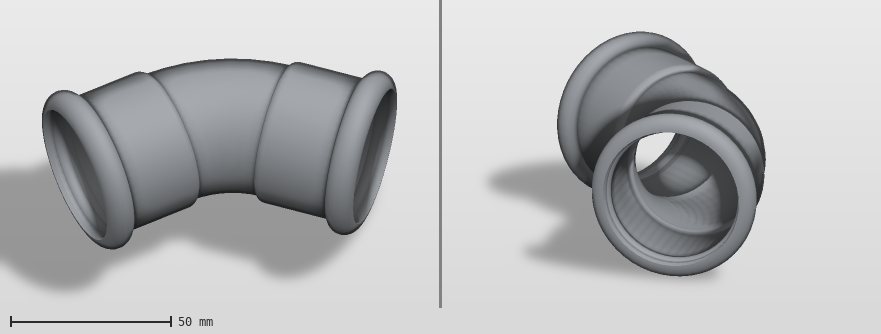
import cadquery as cq
import math

bend_angle = 45.0
bend_radius = 45.9
tube_radius = 21.0
tube_bore_radius = 19.6

socket_diameter = 45.4
socket_radius = socket_diameter / 2
socket_bore_radius = 21.2
shoulder_start = 30.2
outer_shoulder_radius = 3.0
inner_shoulder_radius = socket_bore_radius - tube_bore_radius
bend_start = shoulder_start + inner_shoulder_radius

bead_outer_radius = 26.3
bead_section_radius = 4.5
bead_width = 2 * bead_section_radius
bead_ring_radius = bead_outer_radius - bead_section_radius

seat_diameter = 42.7
seat_radius = seat_diameter / 2
lead_in_depth = 1.4
seat_end = 8.5
seal_depth = 4.8
seal_width = 3.9
seal_inner_radius = 20.5

BEAD_CROWN = 90
SHOULDER_MIDDLE = 135


def arc_point(depth, radius, section_radius, angle):
    """Point on a circular section, at an angle measured from the mouth direction outwards."""
    a = math.radians(angle)
    return (-depth + section_radius * math.cos(a), radius + section_radius * math.sin(a))


def make_socket():
    """Socket around the X axis, with its mouth at X = 0 facing +X."""
    outer_centre_radius = socket_radius - outer_shoulder_radius
    seal_front = seal_depth - seal_width / 2
    seal_back = seal_depth + seal_width / 2
    return (
        cq.Workplane("XY")
        .moveTo(0, bead_ring_radius)
        .threePointArc(
            arc_point(bead_section_radius, bead_ring_radius, bead_section_radius, BEAD_CROWN),
            (-bead_width, bead_ring_radius),
        )
        .lineTo(-bead_width, socket_radius)
        .lineTo(-shoulder_start, socket_radius)
        .threePointArc(
            arc_point(shoulder_start, outer_centre_radius, outer_shoulder_radius, SHOULDER_MIDDLE),
            (-shoulder_start - outer_shoulder_radius, outer_centre_radius),
        )
        .lineTo(-bend_start, tube_bore_radius)
        .threePointArc(
            arc_point(shoulder_start, tube_bore_radius, inner_shoulder_radius, SHOULDER_MIDDLE),
            (-shoulder_start, socket_bore_radius),
        )
        .lineTo(-bead_width, socket_bore_radius)
        .lineTo(-seat_end, seat_radius)
        .lineTo(-seal_back, seat_radius)
        .threePointArc((-seal_depth, seal_inner_radius), (-seal_front, seat_radius))
        .lineTo(-lead_in_depth, seat_radius)
        .close()
        .revolve(360, (0, 0, 0), (1, 0, 0))
    )


def make_bend():
    """Hollow tube swept around Z, from the +Y direction towards -X."""
    return (
        cq.Workplane("YZ")
        .center(bend_radius, 0)
        .circle(tube_radius)
        .circle(tube_bore_radius)
        .revolve(bend_angle, (-bend_radius, 0, 0), (-bend_radius, 1, 0))
    )


socket = make_socket()
right_socket = socket.translate((bend_start, bend_radius, 0))
left_socket = right_socket.mirror("YZ").rotate((0, 0, 0), (0, 0, 1), bend_angle)
result = make_bend().union(right_socket).union(left_socket)